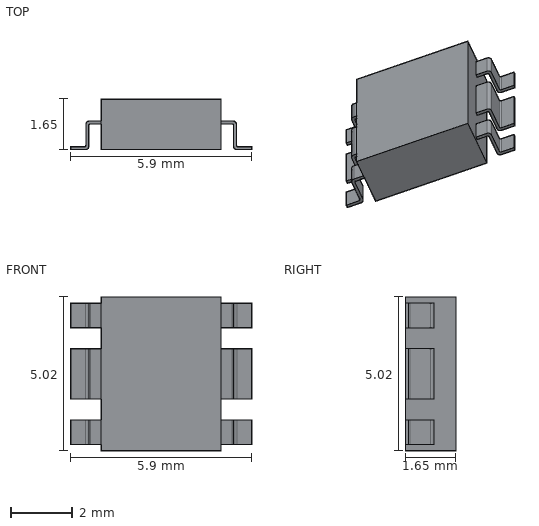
import cadquery as cq

body_width = 3.91
body_depth = 1.65
body_height = 5.02

overall_width = 5.9
strip_thickness = 0.1
foot_length = 0.595
shoulder_rise = 0.94
outer_bend_radius = 0.11
inner_bend_radius = 0.05
lead_embed = 0.06

center_lead_height = 1.65
corner_lead_height = 0.81
corner_lead_offset = 1.9

front_y = -body_depth / 2


def make_lead(height, z_center):
    """Right-hand lead: foot, riser and shoulder extruded along Z."""
    tip_x = overall_width / 2
    riser_inner_x = tip_x - foot_length
    riser_outer_x = riser_inner_x + strip_thickness
    root_x = body_width / 2 - lead_embed
    foot_back_y = front_y + strip_thickness
    shoulder_back_y = front_y + shoulder_rise
    shoulder_front_y = shoulder_back_y - strip_thickness

    profile = [
        (root_x, shoulder_front_y),
        (riser_inner_x, shoulder_front_y),
        (riser_inner_x, front_y),
        (tip_x, front_y),
        (tip_x, foot_back_y),
        (riser_outer_x, foot_back_y),
        (riser_outer_x, shoulder_back_y),
        (root_x, shoulder_back_y),
    ]
    lead = (
        cq.Workplane("XY")
        .workplane(offset=z_center - height / 2)
        .polyline(profile)
        .close()
        .extrude(height)
    )

    outer_corners = [(riser_inner_x, front_y), (riser_outer_x, shoulder_back_y)]
    inner_corners = [(riser_inner_x, shoulder_front_y), (riser_outer_x, foot_back_y)]
    lead = round_bends(lead, outer_corners, outer_bend_radius, z_center)
    return round_bends(lead, inner_corners, inner_bend_radius, z_center)


def round_bends(lead, corners, radius, z_center):
    """Fillet the upright edges of the lead that stand at the given corners."""
    for x, y in corners:
        edge = cq.selectors.NearestToPointSelector((x, y, z_center))
        lead = lead.edges("|Z").edges(edge).fillet(radius)
    return lead


result = cq.Workplane("XY").box(body_width, body_depth, body_height)

lead_rows = [
    (corner_lead_height, corner_lead_offset),
    (center_lead_height, 0),
    (corner_lead_height, -corner_lead_offset),
]
for lead_height, lead_z in lead_rows:
    right_lead = make_lead(lead_height, lead_z)
    result = result.union(right_lead).union(right_lead.mirror("YZ"))